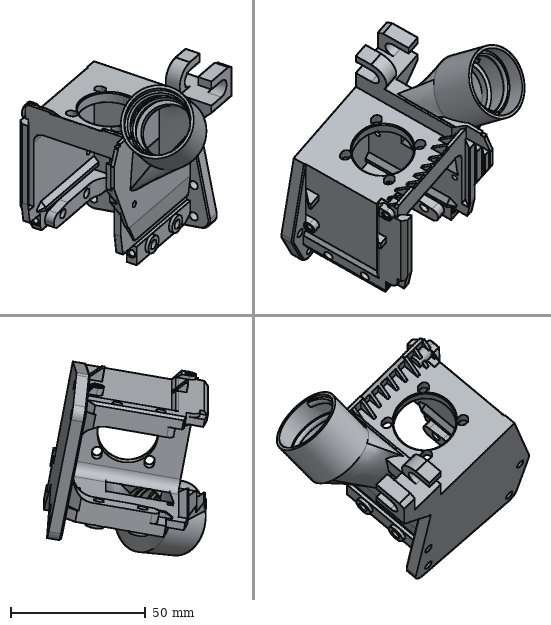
import cadquery as cq
import math


FLANGE_Y = -5.2
FLANGE_CORNER_R = 4.6
FLANGE_CHAMFER = 0.6
FLANGE_CORNERS = [(4.6, 21.8), (10.9, 4.6), (57.5, 12.1), (46.6, 64.9), (13.45, 64.9)]
FLANGE_HOLES = [(4.9, 22.0), (10.9, 4.6), (55.2, 25.7), (55.2, 11.9)]
FLANGE_HOLE_D = 3.5

LEFT_OUT = 8.35
LEFT_IN = 11.3
RIGHT_IN = 49.2
RIGHT_OUT = 52.2
BOX_TOP = 61.6
CEILING = 57.1
WALL_BOTTOM = 18.3
BOX_FRONT = -47.5
CAVITY_R = 4.5

FRAME_OUT = 6.9
FRAME_BACK = -37.6
FRAME_BEVEL = LEFT_OUT - FRAME_OUT
FRAME_EASE = (0.3, 0.9)
FRAME_CORNER_R = 3.7
FRAME_CORNER_Y = -48.0
FOOT_TOP = 24.2
TAB_FRONT = -51.4
TAB_TOP = 61.95
TAB_LEAN_Z = 27.2
TAB_LEAN = 1.4
TAB_CHAMFER = 1.9
TAB_UNDERCUT = (2.3, 3.3)
RAIL_FRONT = -42.75
LEFT_RAIL_BOTTOM = 10.6
RIGHT_RAIL_BOTTOM = 10.1
RAIL_CHAMFER = (0.8, 2.2)
RAIL_SCREW_Z = 14.5
RAIL_SCREW_XS = (8.9, 51.4)
RAIL_UNDERCUT_TOP = 12.8
RAIL_UNDERCUT_RUN = 4.0

LIP_LEFT = 7.7
LIP_THICK = 1.4
LIP_TOP = 68.3
LIP_CHAMFER = (0.9, 1.3)
LIP_LOW = (18.4, 41.2)
LIP_LOW_DROP = 0.5
GUSSET_PITCH = 4.79
GUSSET_WIDTH = 1.3
GUSSET_COUNT = 9
SHORT_GUSSETS = (3, 4, 5, 6)

FAN_X = 30.2
FAN_Y = -24.95
FAN_D = 22.6
FAN_RIM = 0.5
FAN_STRETCH = 0.9
FAN_SCREW_PITCH = 19.8
FAN_SCREW_D = 3.7

PLATE_OUT = 53.7
PLATE_FRONT = -58.5
PLATE_TOP = 69.9
PLATE_BOTTOM = 20.6
PLATE_SIDE = [
    (0, PLATE_TOP),
    (-54.1, PLATE_TOP),
    (-54.1, 69.1),
    (-55.7, 69.1),
    (-55.7, 68.3),
    (PLATE_FRONT, TAB_TOP),
    (PLATE_FRONT, 52.5),
    (-49.1, 30.6),
    (-47.3, 28.4),
    (-42.7, PLATE_BOTTOM),
    (0, PLATE_BOTTOM),
]
PLATE_FOOT_TOP = 29.7
PLATE_FOOT_TAPER = 0.9
INNER_WEDGE = [(RIGHT_OUT, -51.7), (RIGHT_IN, -54.4), (RIGHT_OUT, -54.4)]
OUTER_WEDGE = [(RIGHT_OUT, -54.8), (49.8, -57.1), (49.8, -57.8), (RIGHT_OUT, -57.8)]
WALL_RAISED_IN = 48.3

HOOK_BASE = 70.2
HOOK_TOP = 80.9
HOOK_FRONT = -14.0
HOOK_Y = HOOK_FRONT / 2
HOOK_R = -HOOK_Y
HOOK_BORE_R = 3.57
HOOK_Z = HOOK_BASE + HOOK_BORE_R
LEFT_HOOK = (WALL_RAISED_IN, 54.6)
RIGHT_HOOK = (62.6, 68.5)
HOOK_BASE_THICK = 3.2
HOOK_BEVEL_Y = 2.4
HOOK_BEVEL_Z = 1.2
LEDGE_FRONT = -22.3

SIDE_HOLE_YS = (-16.7, -33.2)
SIDE_HOLE_Z = 14.65
SIDE_HOLE_D = 3.7
SIDE_BOSS_D = 7.05
SIDE_BOSS_OUT = 55.2
BAR_WIDTH = 4.0
BAR_TOP = 17.7
BAR_SLOPE_START = -29.7
BAR_ROUND_START = -36.7
BAR_END_TOP = 16.7
BAR_END_R = 2.8
BAR_FILLET_R = 9.3
RIB_DEPTH = 2.0
RIB_BOTTOM = 20.1
RIB_STEP = 1.5
RIB_TAPER = (-42.2, -45.2)
RIB_END_DEPTH = 0.5
RIB_END_RISE = 0.5

CLIP_OUT = 3.2
CLIP_FLAT = 1.0
CLIP_Z = (43.5, 46.6)
CLIP_SPANS = ((FLANGE_Y, -11.2), (FRAME_BACK, -42.9))

SCREW_D = 2.6
SCREW_MOUTH_D = 3.5
SCREW_DEPTH = 7.4
BOSS_D = 5.0
BOSS_OUT = 5.4
TOP_BOSS = (-43.8, 62.6)
LOW_BOSS = (-8.9, 27.6)
TOP_BOSS_IN = 15.1
TOP_WEB_START = -40.8
LOW_WEB_START = -7.3
PILOT_D = 2.3
PILOT_YS = (-9.2, -44.3)
PILOT_Z = 38.0

SWING = math.radians(13)
LEAN = math.radians(45)
AXIS = cq.Vector(math.sin(LEAN) * math.sin(SWING), -math.cos(LEAN), math.sin(LEAN) * math.cos(SWING))
UP = cq.Vector(math.cos(LEAN) * math.sin(SWING), math.sin(LEAN), math.cos(LEAN) * math.cos(SWING))
MOUTH = cq.Vector(67.7, -50.5, 82.585)
SOCKET_D = 28.0
SOCKET_LEN = 19.7
SOCKET_BORE_D = 25.5
SOCKET_BORE_DEPTH = 16.7
SOCKET_BORE_END_D = 24.6
SOCKET_THROAT_D = 20.7
THREAD_CREST_D = 22.0
THREAD_PITCH = 8.2
THREAD_TURNS = 1.57
THREAD_START = 0.6
THREAD_BASE_W = 2.4
THREAD_ROUND = 0.7
THREAD_START_ANGLE = 237
THREAD_EMBED = 0.2

DUCT_BACK = -18.2
DUCT_FRONT = BOX_FRONT
DUCT_TOP = 70.1
DUCT_BOTTOM = 38.95
DUCT_WALL = 1.8
DUCT_TOP_FRONT = -44.05
DUCT_ANGLES = (130, 225, 270, 405, 490)


def box(x, y, z):
    """Box from three (start, end) ranges."""
    return cq.Workplane("XY").box(
        abs(x[1] - x[0]), abs(y[1] - y[0]), abs(z[1] - z[0]), centered=False
    ).translate((min(x), min(y), min(z)))


def prism_x(points, x):
    """Extrude a (y, z) outline between two X positions."""
    return cq.Workplane("YZ").polyline(points).close().extrude(x[1] - x[0]).translate((x[0], 0, 0))


def prism_y(points, y):
    """Extrude an (x, z) outline from y[0] forward to y[1]."""
    return cq.Workplane("XZ").polyline(points).close().extrude(y[0] - y[1]).translate((0, y[0], 0))


def prism_z(points, z):
    """Extrude an (x, y) outline between two heights."""
    return cq.Workplane("XY").polyline(points).close().extrude(z[1] - z[0]).translate((0, 0, z[0]))


def rod_x(diameter, y, z, x):
    """Cylinder along X between two X positions."""
    return cq.Workplane("YZ").center(y, z).circle(diameter / 2).extrude(x[1] - x[0]).translate((x[0], 0, 0))


def screw_hole(point, direction):
    """Blind screw hole with a chamfered mouth."""
    mouth_depth = (SCREW_MOUTH_D - SCREW_D) / 2
    start = cq.Vector(*point)
    way = cq.Vector(*direction)
    hole = cq.Solid.makeCylinder(SCREW_D / 2, SCREW_DEPTH, start, way)
    mouth = cq.Solid.makeCone(SCREW_MOUTH_D / 2, SCREW_D / 2, mouth_depth, start, way)
    return cq.Workplane(hole).union(cq.Workplane(mouth))


def make_flange():
    """Back plate with rounded corners, trimmed level with the box top."""
    outline = cq.Workplane("XZ").polyline(FLANGE_CORNERS).close().offset2D(FLANGE_CORNER_R)
    plate = outline.extrude(-FLANGE_Y).faces("<Y").chamfer(FLANGE_CHAMFER)
    keep_x = (-FLANGE_CORNER_R, RIGHT_HOOK[1])
    plate = plate.intersect(box(keep_x, (0, FLANGE_Y), (-FLANGE_CORNER_R, BOX_TOP)))
    holes = cq.Workplane("XZ").pushPoints(FLANGE_HOLES).circle(FLANGE_HOLE_D / 2).extrude(-FLANGE_Y)
    return plate.cut(holes)


def make_box():
    """Box open at the front and bottom, with rounded upper inside corners."""
    shell = box((LEFT_OUT, RIGHT_OUT), (0, BOX_FRONT), (WALL_BOTTOM, BOX_TOP))
    cavity = box((LEFT_IN, RIGHT_IN), (FLANGE_Y, BOX_FRONT), (WALL_BOTTOM, CEILING))
    return shell.cut(cavity.edges("|Y and >Z").fillet(CAVITY_R))


def foot_relief():
    """Cut that leaves a round corner on the raised left frame, behind the tab foot."""
    centre_y = FRAME_CORNER_Y + FRAME_CORNER_R
    diagonal = FRAME_CORNER_R * math.sqrt(0.5)
    return (
        cq.Workplane("YZ")
        .moveTo(TAB_FRONT, FOOT_TOP)
        .lineTo(FRAME_CORNER_Y, FOOT_TOP)
        .lineTo(FRAME_CORNER_Y, WALL_BOTTOM + FRAME_CORNER_R)
        .threePointArc(
            (centre_y - diagonal, WALL_BOTTOM + FRAME_CORNER_R - diagonal), (centre_y, WALL_BOTTOM)
        )
        .lineTo(TAB_FRONT, WALL_BOTTOM)
        .close()
        .extrude(LEFT_OUT - FRAME_OUT)
        .translate((FRAME_OUT, 0, 0))
    )


def make_left_frame():
    """Raised left frame with a two-step bevel, ending in the left guide tab."""
    ease_x, ease_y = FRAME_EASE
    bevel = FRAME_BEVEL - ease_x
    frame = prism_z(
        [
            (LEFT_OUT, FRAME_BACK),
            (FRAME_OUT + ease_x, FRAME_BACK - bevel),
            (FRAME_OUT, FRAME_BACK - bevel - ease_y),
            (FRAME_OUT, TAB_FRONT + TAB_CHAMFER),
            (FRAME_OUT + TAB_CHAMFER, TAB_FRONT),
            (LEFT_IN, TAB_FRONT),
            (LEFT_IN, FRAME_BACK),
        ],
        (WALL_BOTTOM, TAB_TOP),
    )
    return frame.cut(foot_relief())


def make_left_rail():
    """Rail below the left wall, bevelled above and chamfered below and in front."""
    chamfer_x, chamfer_z = RAIL_CHAMFER
    rail = prism_y(
        [
            (LEFT_OUT, WALL_BOTTOM + FRAME_BEVEL),
            (FRAME_OUT, WALL_BOTTOM),
            (FRAME_OUT, LEFT_RAIL_BOTTOM + chamfer_z),
            (FRAME_OUT + chamfer_x, LEFT_RAIL_BOTTOM),
            (LEFT_IN, LEFT_RAIL_BOTTOM),
            (LEFT_IN, WALL_BOTTOM + FRAME_BEVEL),
        ],
        (FLANGE_Y, RAIL_FRONT),
    )
    front_slope = prism_x(
        [
            (RAIL_FRONT, LEFT_RAIL_BOTTOM + chamfer_z),
            (RAIL_FRONT + chamfer_x, LEFT_RAIL_BOTTOM),
            (RAIL_FRONT, LEFT_RAIL_BOTTOM),
        ],
        (FRAME_OUT, LEFT_IN),
    )
    return rail.cut(front_slope)


def make_tabs():
    """Guide tabs in front of both walls: undercut on the inside, with feet that lean back."""
    right = box((RIGHT_IN, RIGHT_OUT), (BOX_FRONT, TAB_FRONT), (WALL_BOTTOM, TAB_TOP))
    tabs = make_left_frame().union(right)
    width, depth = TAB_UNDERCUT
    for wall_x, outward in ((LEFT_IN, -1), (RIGHT_IN, 1)):
        undercut = prism_z(
            [
                (wall_x, BOX_FRONT),
                (wall_x + outward * width, BOX_FRONT),
                (wall_x, BOX_FRONT - depth),
            ],
            (FOOT_TOP, TAB_TOP),
        )
        tabs = tabs.cut(undercut)
    lean = prism_x(
        [
            (TAB_FRONT, TAB_LEAN_Z),
            (TAB_FRONT + TAB_LEAN, WALL_BOTTOM),
            (TAB_FRONT, WALL_BOTTOM),
        ],
        (FRAME_OUT, RIGHT_OUT),
    )
    return tabs.cut(lean)


def make_lip():
    """Upright front lip with a bevelled low middle and a row of gussets behind it."""
    lip_back = BOX_FRONT + LIP_THICK
    chamfer_x, chamfer_z = LIP_CHAMFER
    lip = prism_y(
        [
            (LIP_LEFT, CEILING),
            (RIGHT_OUT, CEILING),
            (RIGHT_OUT, LIP_TOP),
            (LIP_LEFT + chamfer_x, LIP_TOP),
            (LIP_LEFT, LIP_TOP - chamfer_z),
        ],
        (lip_back, BOX_FRONT),
    )
    low_top = LIP_TOP - LIP_LOW_DROP
    bevel = prism_x(
        [
            (BOX_FRONT, LIP_TOP),
            (BOX_FRONT, low_top),
            (lip_back, low_top - LIP_THICK),
            (lip_back, LIP_TOP),
        ],
        LIP_LOW,
    )
    lip = lip.cut(bevel)
    for index in range(GUSSET_COUNT):
        height = LIP_TOP - BOX_TOP
        if index in SHORT_GUSSETS:
            height -= LIP_LOW_DROP + LIP_THICK
        left = LIP_LEFT + index * GUSSET_PITCH
        gusset = prism_x(
            [(lip_back, BOX_TOP), (lip_back + height, BOX_TOP), (lip_back, BOX_TOP + height)],
            (left, left + GUSSET_WIDTH),
        )
        lip = lip.union(gusset)
    return lip


def make_side_plate():
    """Outer right plate with two ratchet wedges, all trimmed by one side outline."""
    plate = box((RIGHT_OUT, PLATE_OUT), (0, PLATE_FRONT), (PLATE_BOTTOM, PLATE_TOP))
    for wedge in (INNER_WEDGE, OUTER_WEDGE):
        plate = plate.union(prism_z(wedge, (PLATE_BOTTOM, TAB_TOP)))
    plate = plate.intersect(prism_x(PLATE_SIDE, (RIGHT_IN, PLATE_OUT)))
    foot_taper = prism_y(
        [
            (PLATE_OUT, PLATE_FOOT_TOP),
            (PLATE_OUT - PLATE_FOOT_TAPER, PLATE_BOTTOM),
            (PLATE_OUT, PLATE_BOTTOM),
        ],
        (0, PLATE_FRONT),
    )
    return plate.cut(foot_taper)


def make_raised_wall():
    """Right wall above the box top, with a slanted end that meets the lip."""
    slant = RIGHT_OUT - WALL_RAISED_IN
    return prism_z(
        [
            (WALL_RAISED_IN, 0),
            (PLATE_OUT, 0),
            (PLATE_OUT, BOX_FRONT),
            (RIGHT_OUT, BOX_FRONT),
            (WALL_RAISED_IN, BOX_FRONT + slant),
        ],
        (BOX_TOP, PLATE_TOP),
    )


def make_hooks():
    """Two facing C hooks on one bracketed base; they open to opposite sides."""
    base_under = HOOK_BASE - HOOK_BASE_THICK
    overhang = RIGHT_HOOK[1] - PLATE_OUT
    base = prism_y(
        [
            (WALL_RAISED_IN, HOOK_BASE),
            (RIGHT_HOOK[1], HOOK_BASE),
            (RIGHT_HOOK[1], base_under),
            (PLATE_OUT, base_under - overhang),
            (PLATE_OUT, BOX_TOP),
            (WALL_RAISED_IN, BOX_TOP),
        ],
        (0, HOOK_FRONT),
    )
    ledge = box(LEFT_HOOK, (HOOK_FRONT, LEDGE_FRONT), (BOX_TOP, HOOK_BASE))
    slot_z = (HOOK_BASE, HOOK_BASE + 2 * HOOK_BORE_R)

    left = box(LEFT_HOOK, (0, HOOK_Y), (HOOK_BASE, HOOK_TOP))
    left = left.union(rod_x(2 * HOOK_R, HOOK_Y, HOOK_Z, LEFT_HOOK))
    left = left.cut(box(LEFT_HOOK, (0, HOOK_Y), slot_z))
    left = left.intersect(box(LEFT_HOOK, (0, HOOK_FRONT), (base_under, HOOK_TOP)))

    back_bevel = prism_x(
        [(0, HOOK_TOP), (-HOOK_BEVEL_Y, HOOK_TOP), (0, HOOK_TOP - HOOK_BEVEL_Z)], RIGHT_HOOK
    )
    right = box(RIGHT_HOOK, (0, HOOK_FRONT), (HOOK_BASE, HOOK_TOP)).cut(back_bevel)
    right = right.cut(box(RIGHT_HOOK, (HOOK_Y, HOOK_FRONT), slot_z))

    bore = rod_x(2 * HOOK_BORE_R, HOOK_Y, HOOK_Z, (WALL_RAISED_IN, RIGHT_HOOK[1]))
    return base.union(ledge).union(left).union(right).cut(bore)


def make_bar(wall_x, inward, bottom):
    """Hinge bar along the inside of a rail, with a round end and a fillet into the flange."""
    inner_x = wall_x + inward * BAR_WIDTH
    span = (min(wall_x, inner_x), max(wall_x, inner_x))
    corner_y = BAR_ROUND_START - BAR_END_R
    diagonal = BAR_END_R * math.sqrt(0.5)
    arc_y = BAR_ROUND_START - diagonal
    side = (
        cq.Workplane("YZ")
        .moveTo(FLANGE_Y, bottom)
        .lineTo(FLANGE_Y, BAR_TOP)
        .lineTo(BAR_SLOPE_START, BAR_TOP)
        .lineTo(BAR_ROUND_START, BAR_END_TOP)
        .threePointArc(
            (arc_y, BAR_END_TOP - BAR_END_R + diagonal), (corner_y, BAR_END_TOP - BAR_END_R)
        )
        .lineTo(corner_y, bottom + BAR_END_R)
        .threePointArc((arc_y, bottom + BAR_END_R - diagonal), (BAR_ROUND_START, bottom))
        .close()
    )
    bar = side.extrude(span[1] - span[0]).translate((span[0], 0, 0))
    corner = BAR_FILLET_R * (1 - math.sqrt(0.5))
    fillet = (
        cq.Workplane("XY")
        .moveTo(inner_x, FLANGE_Y)
        .lineTo(inner_x, FLANGE_Y - BAR_FILLET_R)
        .threePointArc(
            (inner_x + inward * corner, FLANGE_Y - corner),
            (inner_x + inward * BAR_FILLET_R, FLANGE_Y),
        )
        .close()
        .extrude(BAR_TOP - bottom)
        .translate((0, 0, bottom))
    )
    return bar.union(fillet)


def make_rib(wall_x, inward):
    """Bevelled rib on an inner wall, tapering to a small end at the front."""

    def section(depth, bottom, step):
        tip_x = wall_x + inward * depth
        return [(wall_x, bottom), (tip_x, bottom), (tip_x, bottom + step), (wall_x, bottom + step + depth)]

    taper_start, taper_end = RIB_TAPER
    base = section(RIB_DEPTH, RIB_BOTTOM, RIB_STEP)
    end = section(RIB_END_DEPTH, RIB_BOTTOM + RIB_END_RISE, RIB_END_DEPTH)
    rib = prism_y(base, (FLANGE_Y, taper_start))
    taper = (
        cq.Workplane("XZ", origin=(0, taper_start, 0))
        .polyline(base)
        .close()
        .workplane(offset=taper_start - taper_end)
        .polyline(end)
        .close()
        .loft(ruled=True)
    )
    return rib.union(taper)


def flange_undercut(top, run):
    """Sloping cut that starts at the flange face and drops forward."""
    drop = top - RIGHT_RAIL_BOTTOM
    return prism_x(
        [
            (FLANGE_Y, top),
            (FLANGE_Y - run, RIGHT_RAIL_BOTTOM),
            (FLANGE_Y - run, RIGHT_RAIL_BOTTOM - drop),
            (FLANGE_Y, RIGHT_RAIL_BOTTOM - drop),
        ],
        (0, SIDE_BOSS_OUT),
    )


def make_rails():
    """Rails, hinge bars and side bosses below the walls, undercut next to the flange."""
    bars = make_bar(LEFT_IN, 1, LEFT_RAIL_BOTTOM).union(make_bar(RIGHT_IN, -1, RIGHT_RAIL_BOTTOM))
    bars = bars.cut(flange_undercut(SIDE_HOLE_Z, SIDE_HOLE_Z - RIGHT_RAIL_BOTTOM))
    rails = box((RIGHT_IN, PLATE_OUT), (FLANGE_Y, RAIL_FRONT), (RIGHT_RAIL_BOTTOM, WALL_BOTTOM))
    rails = rails.union(make_left_rail()).cut(flange_undercut(RAIL_UNDERCUT_TOP, RAIL_UNDERCUT_RUN))
    rails = rails.union(bars)
    for y in SIDE_HOLE_YS:
        rails = rails.union(rod_x(SIDE_BOSS_D, y, SIDE_HOLE_Z, (RIGHT_IN, SIDE_BOSS_OUT)))
    for y in SIDE_HOLE_YS:
        rails = rails.cut(rod_x(SIDE_HOLE_D, y, SIDE_HOLE_Z, (0, SIDE_BOSS_OUT)))
    return rails


def make_clips():
    """Small wedge clips on the left wall."""
    clips = cq.Workplane("XY")
    for back, front in CLIP_SPANS:
        clips = clips.union(
            prism_z(
                [(LEFT_OUT, back), (CLIP_OUT, front + CLIP_FLAT), (CLIP_OUT, front), (LEFT_OUT, front)],
                CLIP_Z,
            )
        )
    return clips


def make_screw_bosses():
    """Screw bosses on the left side, each blended into what lies behind it by a slanted web."""
    half = BOSS_D / 2
    bosses = cq.Workplane("XY")
    for (y, z), inner_x, web_back, web_start in (
        (TOP_BOSS, TOP_BOSS_IN, FRAME_BACK, TOP_WEB_START),
        (LOW_BOSS, LEFT_OUT, FLANGE_Y, LOW_WEB_START),
    ):
        web = prism_z(
            [(LEFT_OUT, web_back), (BOSS_OUT, web_start), (BOSS_OUT, y), (LEFT_OUT, y)],
            (z - half, z + half),
        )
        if inner_x == TOP_BOSS_IN:
            ramp = prism_x(
                [(web_back, BOX_TOP), (web_back, z + half), (web_start, z + half)],
                (BOSS_OUT, LEFT_OUT),
            )
            web = web.cut(ramp)
        bosses = bosses.union(web).union(rod_x(BOSS_D, y, z, (BOSS_OUT, inner_x)))
    return bosses


def fan_opening():
    """Stretched fan bore with a rim chamfer and four stretched screw holes."""
    depth = BOX_TOP - CEILING
    bore = cq.Workplane("XY").slot2D(FAN_D + FAN_STRETCH, FAN_D).extrude(depth)
    rim = (
        cq.Workplane("XY", origin=(0, 0, depth))
        .slot2D(FAN_D + FAN_STRETCH + 2 * FAN_RIM, FAN_D + 2 * FAN_RIM)
        .extrude(-FAN_RIM, taper=45)
    )
    screws = (
        cq.Workplane("XY")
        .rect(FAN_SCREW_PITCH, FAN_SCREW_PITCH, forConstruction=True)
        .vertices()
        .slot2D(FAN_SCREW_D + FAN_STRETCH, FAN_SCREW_D)
        .extrude(depth)
    )
    return bore.union(rim).union(screws).translate((FAN_X, FAN_Y, CEILING))


def duct_solid(inset, diameter):
    """Ruled transition from a four-sided mouth on the right wall to the socket circle."""
    back = DUCT_BACK - inset
    front = DUCT_FRONT + inset
    top_front = DUCT_TOP_FRONT + inset
    top = DUCT_TOP - inset
    bottom = DUCT_BOTTOM + inset
    corners = [
        cq.Vector(RIGHT_IN, y, z)
        for y, z in ((back, top), (top_front, top), (front, bottom), (back, bottom))
    ]
    centre = MOUTH - AXIS * SOCKET_LEN
    side = UP.cross(AXIS)

    def circle_point(degrees):
        angle = math.radians(degrees)
        return centre + (side * math.cos(angle) + UP * math.sin(angle)) * (diameter / 2)

    arcs = [
        cq.Edge.makeThreePointArc(circle_point(start), circle_point((start + end) / 2), circle_point(end))
        for start, end in zip(DUCT_ANGLES, DUCT_ANGLES[1:])
    ]
    base = cq.Wire.makePolygon(corners, close=True)
    return cq.Workplane(cq.Solid.makeLoft([base, cq.Wire.assembleEdges(arcs)], True))


def socket_plane():
    """Plane at the socket mouth whose normal points into the socket."""
    return cq.Plane(origin=MOUTH, xDir=UP.cross(AXIS), normal=AXIS * -1)


def make_thread():
    """Helical hose ridge standing on the socket bore."""
    root_r = SOCKET_BORE_D / 2 + THREAD_EMBED
    crest_r = THREAD_CREST_D / 2
    half_base = THREAD_BASE_W / 2
    flank_r = crest_r + THREAD_ROUND
    path = cq.Wire.makeHelix(THREAD_PITCH, THREAD_PITCH * THREAD_TURNS, root_r)
    section = (
        cq.Workplane("XZ")
        .moveTo(root_r, -half_base)
        .lineTo(flank_r, -half_base)
        .threePointArc((crest_r, 0), (flank_r, half_base))
        .lineTo(root_r, half_base)
        .close()
    )
    ridge = section.sweep(cq.Workplane(path), isFrenet=True)
    ridge = ridge.rotate((0, 0, 0), (0, 0, 1), -THREAD_START_ANGLE)
    ridge = ridge.translate((0, 0, THREAD_START + half_base))
    return cq.Workplane(ridge.val().moved(socket_plane().location))


def make_part():
    """Join all the pieces, then cut the openings and holes."""
    part = make_flange()
    pieces = (
        make_box(),
        make_rails(),
        make_tabs(),
        make_lip(),
        make_raised_wall(),
        make_side_plate(),
        make_hooks(),
        make_clips(),
        make_screw_bosses(),
        make_rib(LEFT_IN, 1),
        make_rib(RIGHT_IN, -1),
        duct_solid(0, SOCKET_D),
        cq.Workplane(socket_plane()).circle(SOCKET_D / 2).extrude(SOCKET_LEN),
    )
    for piece in pieces:
        part = part.union(piece)

    part = part.cut(fan_opening())
    part = part.cut(duct_solid(DUCT_WALL, SOCKET_THROAT_D))
    part = part.cut(cq.Workplane(socket_plane()).circle(SOCKET_THROAT_D / 2).extrude(SOCKET_LEN))
    part = part.cut(
        cq.Workplane(
            cq.Solid.makeCone(
                SOCKET_BORE_D / 2, SOCKET_BORE_END_D / 2, SOCKET_BORE_DEPTH, MOUTH, AXIS * -1
            )
        )
    )
    part = part.union(make_thread())

    for y in PILOT_YS:
        part = part.cut(rod_x(PILOT_D, y, PILOT_Z, (RIGHT_IN, PLATE_OUT)))
    for y, z in (TOP_BOSS, LOW_BOSS):
        part = part.cut(screw_hole((BOSS_OUT, y, z), (1, 0, 0)))
    for x in RAIL_SCREW_XS:
        part = part.cut(screw_hole((x, RAIL_FRONT, RAIL_SCREW_Z), (0, 1, 0)))
    return part


result = make_part()